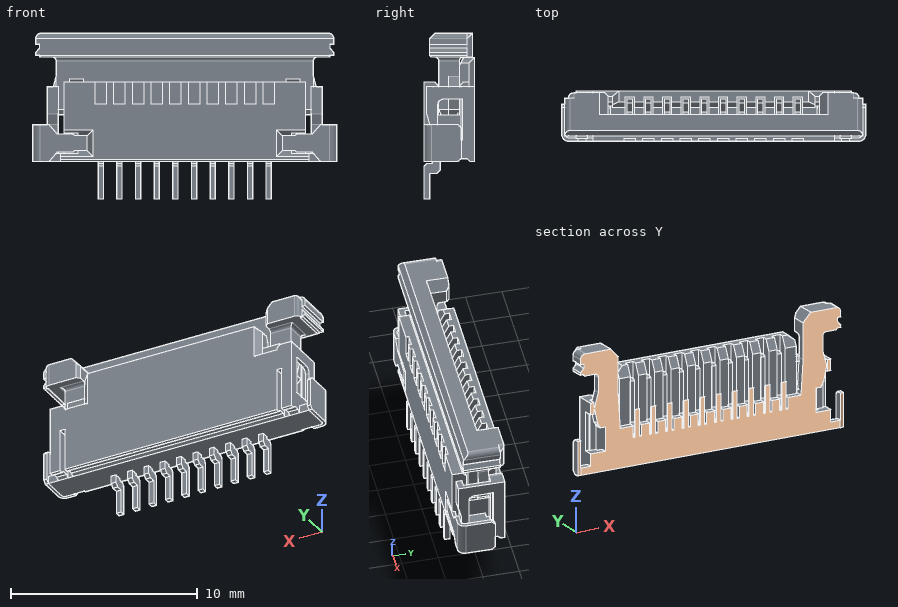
import cadquery as cq


LENGTH = 16.3
DEPTH = 2.7
TOP_Z = 6.88
TAIL_DROP = 2.02

CONTACT_COUNT = 10
ROW_SPAN = 9.0
PITCH = ROW_SPAN / (CONTACT_COUNT - 1)
CONTACT_WIDTH = 0.3

CORE_HALF = 6.47
WALL_TOP = 4.27
WALL_DEPTH = 0.78
WALL_BEVEL = 0.21
BACK_TOP = 3.73
LEDGE_BACK = 2.41
BLOCK_HALF = 5.43
BLOCK_TOP = 5.57
BLOCK_FRONT = 1.81
BLOCK_BEVEL = DEPTH - LEDGE_BACK
BLOCK_END_BEVEL = 0.35
LEAD_IN_DEPTH = 0.31
LEAD_IN_HEIGHT = 0.6
RELIEF_WIDTH = 0.62
RELIEF_HEIGHT = 1.19
RELIEF_DEPTH = 0.16
FOOT_HALF = 6.65
FOOT_HEIGHT = 0.44
FOOT_DEPTH = 0.65
FOOT_BEVEL = 0.1

POCKET_INNER_X = 4.92
POCKET_BOTTOM = 0.28
POCKET_TOP = 1.68
POCKET_DEPTH = 0.4
POCKET_DRAFT = 0.31
PAD_X = 5.72

WING_OUT = 7.37
WING_IN = 6.76
WING_TOP = 4.01
WING_FRONT = 0.15
WING_LOW_FRONT = 0.31
WING_STEP_TOP = 2.55
WING_STEP_BOTTOM = 1.97
WING_SKIN = 0.23
FLANGE_DEPTH = 0.33
POST_FRONT = 1.97
WINDOW_FRONT = 0.73
WINDOW_BACK = 2.07
WINDOW_TOP = 3.34
WINDOW_RADIUS = 0.33
BRIDGE_TOP = 1.14
REST_HEIGHT = FOOT_HEIGHT
GROOVE_DEPTH = 0.15
GROOVE_FRONT = 1.83
GROOVE_BACK = 2.46

HEAD_HALF = 7.99
HEAD_FRONT = 0.3
HEAD_BACK = 2.6
HEAD_BOTTOM = 5.59
HEAD_BEVEL = 0.3
HEAD_LOW_BEVEL = 0.1
END_GROOVE_TOP = 6.28
END_GROOVE_KNEE = 6.08
END_GROOVE_BOTTOM = 5.84
END_GROOVE_X = 7.79
BEAM_BACK = 1.43
ARM_IN = 5.65
ARM_BEVEL_X = 0.47
ARM_BEVEL_Z = 0.52
ARM_CORNER = 0.18
PLATE_HALF = 6.9
PLATE_BACK = 1.9
PLATE_BOTTOM = 2.5
PLATE_BEVEL = 0.13
PLATE_TAPER_HEIGHT = 0.3
NECK_RADIUS = 0.2
EAR_FRONT = 1.32
EAR_REACH = 7.14
EAR_LOW_REACH = 6.95
EAR_TOP = 4.56
EAR_BOTTOM = PLATE_BOTTOM + PLATE_TAPER_HEIGHT
NOTCH_IN = 5.41
NOTCH_OUT = 6.18
NOTCH_TOP = 4.42
NOTCH_DEPTH = 0.35
NOTCH_BOTTOM = 3.59

CABLE_FLOOR = 2.28
CABLE_FLOOR_HALF = 5.53
CAVITY_WIDTH = 0.49
CAVITY_BACK = 2.38
CAVITY_FLOOR = 1.63
REAR_BEAM_FRONT = 2.05
REAR_BEAM_BACK = 2.28
REAR_BEAM_TOP = 4.73
REAR_BEAM_RAMP = 0.65
FRONT_BEAM_BACK = 1.56
FRONT_BEAM_TOP = 3.26
BEAM_TIP = 0.11

TAIL_BACK = 0.88
TAIL_KNEE_Z = 0.65
TAIL_KNEE_BEVEL = 0.2
TAIL_THICKNESS = 0.31
TAIL_NECK_FRONT = 0.44
TAIL_SHOULDER_Z = 0.1
TAIL_TOE_BEVEL = 0.15
TAIL_ROOT = 0.16

CLIP_SHEET = 0.2
CLIP_RADIUS = 0.39
CLIP_HEIGHT = 1.97
CLIP_BACK = 2.0
CLIP_CORNER = 0.18
CLIP_SHOULDER_X = 7.27
CLIP_ARM_X = 6.83
CLIP_ARM_HALF = 0.49
CLIP_STEP_X = 6.0
CLIP_STEP = 0.08
CLIP_TIP_X = 5.23


def box(x0, x1, y0, y1, z0, z1):
    """Axis-aligned block between two opposite corners."""
    return cq.Workplane("XY").box(x1 - x0, y1 - y0, z1 - z0, centered=False).translate((x0, y0, z0))


def along_x(yz_points, x0, x1):
    """Prism with a YZ outline, running from x0 to x1."""
    return cq.Workplane("YZ", origin=(x0, 0, 0)).polyline(yz_points).close().extrude(x1 - x0)


def along_y(xz_points, y0, y1):
    """Prism with an XZ outline, running from y0 to y1."""
    return cq.Workplane("XZ", origin=(0, y0, 0)).polyline(xz_points).close().extrude(y0 - y1)


def along_z(xy_points, z0, z1):
    """Prism with an XY outline, running from z0 to z1."""
    return cq.Workplane("XY", origin=(0, 0, z0)).polyline(xy_points).close().extrude(z1 - z0)


def both_ends(left_part):
    """A left-end feature together with its mirror image at the right end."""
    return left_part.union(left_part.mirror("YZ"))


def contact_positions():
    middle = (CONTACT_COUNT - 1) / 2
    return [(i - middle) * PITCH for i in range(CONTACT_COUNT)]



def underside():
    """Lower YZ points from front to back, past the groove along the underside."""
    return [
        (GROOVE_FRONT, 0),
        (GROOVE_FRONT + GROOVE_DEPTH, GROOVE_DEPTH),
        (GROOVE_BACK - GROOVE_DEPTH, GROOVE_DEPTH),
        (GROOVE_BACK, 0),
        (DEPTH, 0),
    ]


def housing_core():
    """Front wall, solid base, low back wall and the ledge in front of it."""
    profile = [
        (FOOT_BEVEL, 0),
        *underside(),
        (DEPTH, BACK_TOP),
        (LEDGE_BACK, BACK_TOP),
        (LEDGE_BACK, WALL_TOP),
        (PLATE_BACK + WALL_BEVEL, WALL_TOP),
        (PLATE_BACK, WALL_TOP - WALL_BEVEL),
        (PLATE_BACK, PLATE_BOTTOM),
        (WALL_DEPTH, PLATE_BOTTOM),
        (WALL_DEPTH, WALL_TOP - WALL_BEVEL),
        (WALL_DEPTH - WALL_BEVEL, WALL_TOP),
        (0, WALL_TOP),
        (0, FOOT_BEVEL),
    ]
    core = along_x(profile, -CORE_HALF, CORE_HALF)
    foot = along_x(
        [(FOOT_BEVEL, 0), (FOOT_DEPTH, 0), (FOOT_DEPTH, FOOT_HEIGHT), (0, FOOT_HEIGHT), (0, FOOT_BEVEL)],
        -FOOT_HALF,
        FOOT_HALF,
    )
    return core.union(foot)


def rear_block():
    """Upright block behind the cable slot, with a sloped lead-in and bevelled ends."""
    block = along_x(
        [
            (BLOCK_FRONT, CABLE_FLOOR),
            (DEPTH, CABLE_FLOOR),
            (DEPTH, BLOCK_TOP),
            (BLOCK_FRONT + LEAD_IN_DEPTH, BLOCK_TOP),
            (BLOCK_FRONT, BLOCK_TOP - LEAD_IN_HEIGHT),
        ],
        -BLOCK_HALF,
        BLOCK_HALF,
    )
    inner = BLOCK_HALF - BLOCK_END_BEVEL
    rear_corner = along_z(
        [(-BLOCK_HALF, DEPTH), (-BLOCK_HALF, LEDGE_BACK), (-inner, DEPTH)], BACK_TOP, BLOCK_TOP
    )
    top_corner = along_y(
        [(-BLOCK_HALF, BLOCK_TOP), (-BLOCK_HALF, BLOCK_TOP - BLOCK_BEVEL), (-inner, BLOCK_TOP)],
        BLOCK_FRONT,
        DEPTH,
    )
    return block.cut(both_ends(rear_corner)).cut(both_ends(top_corner))


def front_reliefs():
    reliefs = cq.Workplane("XY")
    for x in contact_positions():
        reliefs = reliefs.union(
            box(x - RELIEF_WIDTH / 2, x + RELIEF_WIDTH / 2, 0, RELIEF_DEPTH, WALL_TOP - RELIEF_HEIGHT, WALL_TOP)
        )
    return reliefs


def clip_pocket():
    """Drafted pocket, open at the end of the wall, less the pad that backs the clip arm."""
    height = POCKET_TOP - POCKET_BOTTOM
    outer_x = FOOT_HALF
    mouth_width = outer_x - POCKET_INNER_X
    middle_z = (POCKET_TOP + POCKET_BOTTOM) / 2
    pocket = (
        cq.Workplane("XZ")
        .center(-(outer_x + POCKET_INNER_X) / 2, middle_z)
        .rect(mouth_width, height)
        .workplane(offset=-POCKET_DEPTH)
        .center(-POCKET_DRAFT / 2, 0)
        .rect(mouth_width - POCKET_DRAFT, height - 2 * POCKET_DRAFT)
        .loft(ruled=True)
    )
    pad = box(-outer_x, -PAD_X, CLIP_SHEET, POCKET_DEPTH, POCKET_BOTTOM, POCKET_TOP)
    return pocket.cut(pad)


def wing():
    """Left end wing: a hollow post with a side window, bridged to the core."""
    outline = [
        (WING_LOW_FRONT, 0),
        *underside(),
        (DEPTH, WING_TOP),
        (WING_FRONT, WING_TOP),
        (WING_FRONT, WING_STEP_TOP),
        (WING_LOW_FRONT, WING_STEP_BOTTOM),
    ]
    post = along_x(outline, -WING_OUT, -WING_IN)
    hollow = box(-WING_OUT + WING_SKIN, -WING_IN, WING_FRONT + FLANGE_DEPTH, POST_FRONT, BRIDGE_TOP, WING_TOP)
    window = box(-WING_OUT, -WING_OUT + WING_SKIN, WINDOW_FRONT, WINDOW_BACK, BRIDGE_TOP, WINDOW_TOP)
    window = window.edges("|X and >Z and <Y").fillet(WINDOW_RADIUS)
    bridge = box(-WING_IN, -CORE_HALF, POCKET_DEPTH, GROOVE_FRONT, 0, BRIDGE_TOP)
    rest = box(-LENGTH / 2 + CLIP_SHEET, -FOOT_HALF, CLIP_SHEET, GROOVE_FRONT, 0, REST_HEIGHT)
    rest = rest.edges("|Z and <X and <Y").fillet(CLIP_RADIUS - CLIP_SHEET)
    tie = box(-WING_IN, -CORE_HALF, POST_FRONT, DEPTH, PLATE_BOTTOM, WING_TOP)
    tie = tie.edges("|Y and >X and >Z").fillet(WING_TOP - BACK_TOP)
    return post.cut(hollow).cut(window).union(bridge).union(rest).union(tie)


def actuator_head():
    """Grip bar with grooved ends and two arms reaching back."""
    arm_front = HEAD_BACK - HEAD_BEVEL
    lip_z = HEAD_BOTTOM + HEAD_LOW_BEVEL
    head = along_x(
        [
            (HEAD_FRONT, lip_z),
            (HEAD_FRONT + HEAD_LOW_BEVEL, HEAD_BOTTOM),
            (arm_front, HEAD_BOTTOM),
            (arm_front, TOP_Z),
            (HEAD_FRONT + HEAD_BEVEL, TOP_Z),
            (HEAD_FRONT, TOP_Z - HEAD_BEVEL),
        ],
        -HEAD_HALF,
        HEAD_HALF,
    )
    head = head.edges("|Y and >Z").fillet(HEAD_BEVEL)
    end_groove = along_y(
        [
            (-HEAD_HALF, END_GROOVE_TOP),
            (-END_GROOVE_X, END_GROOVE_TOP),
            (-END_GROOVE_X, END_GROOVE_KNEE),
            (-HEAD_HALF, END_GROOVE_BOTTOM),
        ],
        0,
        arm_front,
    )
    end_undercut = along_y(
        [
            (-HEAD_HALF, HEAD_BOTTOM),
            (-HEAD_HALF, lip_z),
            (-END_GROOVE_X, lip_z),
            (-END_GROOVE_X + HEAD_LOW_BEVEL, HEAD_BOTTOM),
        ],
        0,
        arm_front,
    )
    arm_tips = box(-END_GROOVE_X, END_GROOVE_X, BEAM_BACK, HEAD_BACK, HEAD_BOTTOM, TOP_Z)
    arm_tips = arm_tips.edges("(|Z and >Y) or (|Y and >Z)").fillet(HEAD_BEVEL)
    arm_tips = arm_tips.intersect(box(-END_GROOVE_X, END_GROOVE_X, arm_front, HEAD_BACK, HEAD_BOTTOM, TOP_Z))
    arm_slope = along_y(
        [(-ARM_IN, TOP_Z), (-ARM_IN, TOP_Z - ARM_BEVEL_Z), (-ARM_IN - ARM_BEVEL_X, TOP_Z)], BEAM_BACK, HEAD_BACK
    )
    arm_corner = along_z(
        [(-ARM_IN, HEAD_BACK), (-ARM_IN, HEAD_BACK - ARM_CORNER), (-ARM_IN - ARM_CORNER, HEAD_BACK)],
        HEAD_BOTTOM,
        TOP_Z,
    )
    head = head.cut(both_ends(end_groove)).cut(both_ends(end_undercut)).union(arm_tips)
    return head.cut(both_ends(arm_slope)).cut(both_ends(arm_corner))


def actuator_plate():
    """Plate below the grip bar, tapered all round at its lower edge."""
    depth = PLATE_BACK - WALL_DEPTH
    plate = box(-PLATE_HALF, PLATE_HALF, WALL_DEPTH, PLATE_BACK, EAR_BOTTOM, HEAD_BOTTOM)
    taper = (
        cq.Workplane("XY", origin=(0, (PLATE_BACK + WALL_DEPTH) / 2, EAR_BOTTOM))
        .rect(2 * PLATE_HALF, depth)
        .workplane(offset=PLATE_BOTTOM - EAR_BOTTOM)
        .rect(2 * (PLATE_HALF - PLATE_BEVEL), depth - 2 * PLATE_BEVEL)
        .loft(ruled=True)
    )
    return plate.union(taper)


def actuator_ear():
    """Wedge-shaped latch ear on the left edge of the plate."""
    peak_z = (EAR_TOP + EAR_BOTTOM) / 2
    return along_y(
        [
            (-PLATE_HALF, EAR_TOP),
            (-EAR_REACH, peak_z),
            (-EAR_LOW_REACH, EAR_BOTTOM),
            (-PLATE_HALF + PLATE_BEVEL, PLATE_BOTTOM),
            (-PLATE_HALF + PLATE_BEVEL, EAR_TOP),
        ],
        EAR_FRONT,
        PLATE_BACK,
    )


def plate_notch():
    """Pocket with a sloped ceiling in the plate's front face."""
    back = WALL_DEPTH + NOTCH_DEPTH
    return along_x(
        [
            (WALL_DEPTH, NOTCH_BOTTOM),
            (back, NOTCH_BOTTOM),
            (back, NOTCH_TOP - NOTCH_DEPTH),
            (WALL_DEPTH, NOTCH_TOP),
        ],
        -NOTCH_OUT,
        -NOTCH_IN,
    )


def cable_slot():
    """Slot between the actuator arms, narrowing slightly down to its floor."""
    right_side = [(CABLE_FLOOR_HALF, CABLE_FLOOR), (ARM_IN, WALL_TOP), (ARM_IN, TOP_Z)]
    left_side = [(-x, z) for x, z in reversed(right_side)]
    return along_y(right_side + left_side, BEAM_BACK, HEAD_BACK)


def make_actuator():
    """Plate and grip bar with a rounded neck between them, and the latch ears."""
    actuator = actuator_plate().union(actuator_head()).cut(cable_slot())
    neck_edges = cq.selectors.BoxSelector(
        (-PLATE_HALF - NECK_RADIUS, WALL_DEPTH - NECK_RADIUS, HEAD_BOTTOM - NECK_RADIUS / 2),
        (PLATE_HALF + NECK_RADIUS, PLATE_BACK + NECK_RADIUS, HEAD_BOTTOM + NECK_RADIUS / 2),
        boundingbox=True,
    )
    actuator = actuator.edges(neck_edges).fillet(NECK_RADIUS)
    return actuator.union(both_ends(actuator_ear())).cut(both_ends(plate_notch()))


def contact_cavity(x):
    half = CAVITY_WIDTH / 2
    return box(x - half, x + half, BEAM_BACK, CAVITY_BACK, CAVITY_FLOOR, BLOCK_TOP)


def contact_beams(x):
    """The two spring beams of one contact, standing in its cavity."""
    x0 = x - CONTACT_WIDTH / 2
    x1 = x + CONTACT_WIDTH / 2
    rear = along_x(
        [
            (FRONT_BEAM_BACK, CAVITY_FLOOR),
            (REAR_BEAM_BACK, CAVITY_FLOOR),
            (REAR_BEAM_BACK, REAR_BEAM_TOP),
            (REAR_BEAM_FRONT, REAR_BEAM_TOP - BEAM_TIP),
            (REAR_BEAM_FRONT, CAVITY_FLOOR + REAR_BEAM_RAMP),
        ],
        x0,
        x1,
    )
    front = along_x(
        [
            (BEAM_BACK, CAVITY_FLOOR),
            (FRONT_BEAM_BACK, CAVITY_FLOOR),
            (FRONT_BEAM_BACK, FRONT_BEAM_TOP - BEAM_TIP),
            (BEAM_BACK, FRONT_BEAM_TOP),
        ],
        x0,
        x1,
    )
    return rear.union(front)


def contact_tail(x):
    """Cranked solder tail of one contact."""
    profile = [
        (TAIL_NECK_FRONT, TAIL_ROOT),
        (TAIL_NECK_FRONT, -TAIL_SHOULDER_Z),
        (TAIL_TOE_BEVEL, -TAIL_SHOULDER_Z),
        (0, -TAIL_SHOULDER_Z - TAIL_TOE_BEVEL),
        (0, -TAIL_DROP),
        (TAIL_THICKNESS, -TAIL_DROP),
        (TAIL_THICKNESS, -TAIL_KNEE_Z),
        (TAIL_BACK - TAIL_KNEE_BEVEL, -TAIL_KNEE_Z),
        (TAIL_BACK, -TAIL_KNEE_Z + TAIL_KNEE_BEVEL),
        (TAIL_BACK, TAIL_ROOT),
    ]
    return along_x(profile, x - CONTACT_WIDTH / 2, x + CONTACT_WIDTH / 2)


def make_main_body():
    core = housing_core().cut(front_reliefs()).cut(both_ends(clip_pocket()))
    slot_below_actuator = cable_slot().intersect(box(-ARM_IN, ARM_IN, BEAM_BACK, PLATE_BACK, 0, PLATE_BOTTOM))
    body = core.cut(slot_below_actuator).union(make_actuator())
    body = body.union(rear_block()).union(both_ends(wing()))
    for x in contact_positions():
        body = body.cut(contact_cavity(x)).union(contact_beams(x)).union(contact_tail(x))
    return body



def make_clip():
    """Left clip: L-bent sheet whose tapered arm lies in the housing's front pocket."""
    out = LENGTH / 2
    blank = box(-out, -CLIP_TIP_X, 0, CLIP_BACK, 0, CLIP_HEIGHT).edges("|Z and <X and <Y").fillet(CLIP_RADIUS)
    inside = box(-out + CLIP_SHEET, -CLIP_TIP_X, CLIP_SHEET, CLIP_BACK, 0, CLIP_HEIGHT)
    inside = inside.edges("|Z and <X and <Y").fillet(CLIP_RADIUS - CLIP_SHEET)
    sheet = blank.cut(inside)

    middle = CLIP_HEIGHT / 2
    tip_half = CLIP_ARM_HALF - CLIP_STEP
    upper = [
        (-out, CLIP_HEIGHT),
        (-CLIP_SHOULDER_X, CLIP_HEIGHT),
        (-CLIP_ARM_X, middle + CLIP_ARM_HALF),
        (-CLIP_STEP_X, middle + CLIP_ARM_HALF),
        (-CLIP_STEP_X + CLIP_STEP, middle + tip_half),
        (-CLIP_TIP_X, middle + tip_half),
    ]
    lower = [(x, CLIP_HEIGHT - z) for x, z in reversed(upper)]
    side_corners = along_x(
        [
            (0, 0),
            (CLIP_BACK - CLIP_CORNER, 0),
            (CLIP_BACK, CLIP_CORNER),
            (CLIP_BACK, CLIP_HEIGHT - CLIP_CORNER),
            (CLIP_BACK - CLIP_CORNER, CLIP_HEIGHT),
            (0, CLIP_HEIGHT),
        ],
        -out,
        -CLIP_TIP_X,
    )
    return sheet.intersect(along_y(upper + lower, 0, CLIP_BACK)).intersect(side_corners)


main_body = make_main_body()
left_clip = make_clip()
clips = [left_clip, left_clip.mirror("YZ")]

result = cq.Compound.makeCompound([main_body.val(), *[clip.val() for clip in clips]])